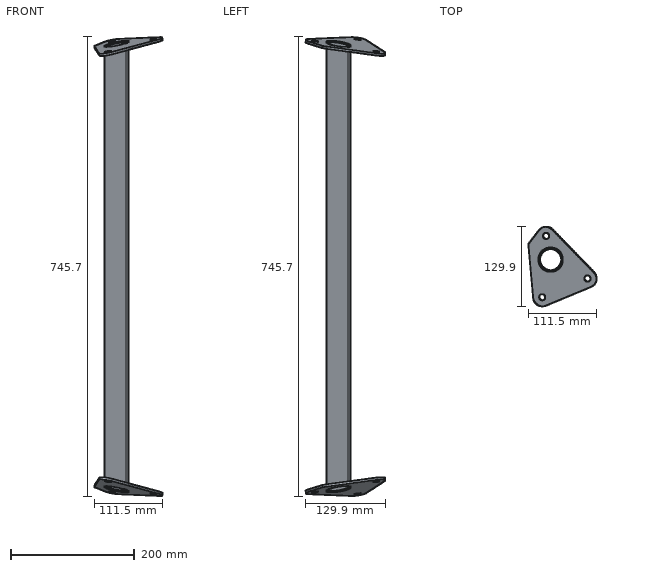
import cadquery as cq
import math

tube_outer_diameter = 40.0
tube_bore_diameter = 34.0

plate_thickness = 4.0
plate_tilt = 14.36
hinge_direction = -52.64
corner_radius = 15.0
bolt_hole_diameter = 10.15
near_bolt = (-35.07, 17.75)
far_bolt = (60.66, 29.53)
low_bolt = (40.3, -49.86)
sharp_corner = (-42.2, -14.12)

tube_recess = plate_thickness / 2

overall_height = 745.74
uphill_reach = far_bolt[1] + corner_radius
half_height = overall_height / 2
plate_center_height = half_height - uphill_reach * math.sin(math.radians(plate_tilt))


def upper_plate_plane():
    """Outer face of the upper plate, centred on the tube axis."""
    hinge = math.radians(hinge_direction)
    tilt = math.radians(plate_tilt)
    level = (math.cos(hinge), math.sin(hinge), 0)
    normal = (math.sin(tilt) * math.sin(hinge), -math.sin(tilt) * math.cos(hinge), math.cos(tilt))
    return cq.Plane(origin=(0, 0, plate_center_height), xDir=level, normal=normal)


def offset_point(center, angle):
    """Point on the corner circle around center, at an angle in radians."""
    return (center[0] + corner_radius * math.cos(angle), center[1] + corner_radius * math.sin(angle))


def edge_normal(start, end):
    """Outward direction of an edge that runs anticlockwise."""
    return math.atan2(end[1] - start[1], end[0] - start[0]) - math.pi / 2


def tangent_normal(center, point, side):
    """Direction from a corner circle's center to where a line from the point touches it."""
    toward_point = math.atan2(point[1] - center[1], point[0] - center[0])
    return toward_point + side * math.acos(corner_radius / math.dist(center, point))


def arc_corner(outline, center, start, end):
    """Round a corner anticlockwise from one direction to the next."""
    sweep = (end - start) % (2 * math.pi)
    middle = offset_point(center, start + sweep / 2)
    return outline.threePointArc(middle, offset_point(center, end))


def make_upper_plate():
    plane = upper_plate_plane()
    low_start = tangent_normal(low_bolt, sharp_corner, 1)
    low_end = edge_normal(low_bolt, far_bolt)
    far_end = edge_normal(far_bolt, near_bolt)
    near_end = tangent_normal(near_bolt, sharp_corner, -1)

    outline = cq.Workplane(plane).moveTo(*sharp_corner).lineTo(*offset_point(low_bolt, low_start))
    outline = arc_corner(outline, low_bolt, low_start, low_end)
    outline = outline.lineTo(*offset_point(far_bolt, low_end))
    outline = arc_corner(outline, far_bolt, low_end, far_end)
    outline = outline.lineTo(*offset_point(near_bolt, far_end))
    outline = arc_corner(outline, near_bolt, far_end, near_end)
    plate = outline.close().extrude(-plate_thickness)
    holes = (
        cq.Workplane(plane)
        .pushPoints([near_bolt, far_bolt, low_bolt])
        .circle(bolt_hole_diameter / 2)
        .extrude(-plate_thickness)
    )
    tube_hole = cq.Workplane("XY").circle(tube_outer_diameter / 2).extrude(overall_height)
    return plate.cut(holes).cut(tube_hole)


def space_below_tube_end():
    """Block bounded above by the tilted plane of the upper tube end."""
    return (
        cq.Workplane(upper_plate_plane())
        .workplane(offset=-tube_recess)
        .rect(overall_height, overall_height)
        .extrude(-overall_height)
    )


def make_tube():
    """Upper half with its end cut parallel to the plate, joined to its mirror image."""
    half = (
        cq.Workplane("XY")
        .circle(tube_outer_diameter / 2)
        .circle(tube_bore_diameter / 2)
        .extrude(half_height)
        .intersect(space_below_tube_end())
    )
    return half.union(half.mirror("XY")).clean()


upper_plate = make_upper_plate()
lower_plate = upper_plate.mirror("XY")
tube = make_tube()

result = cq.Compound.makeCompound([tube.val(), upper_plate.val(), lower_plate.val()])